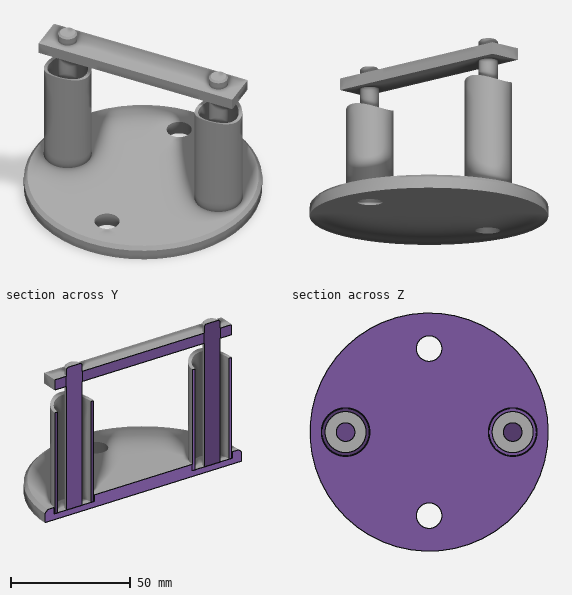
import cadquery as cq
import math

PLATE_DIAMETER = 100.0
PLATE_THICKNESS = 6.0
PLATE_CHAMFER = 1.5
SCREW_HOLE_DIAMETER = 10.5

MOUNT_RADIUS = 35.0

TUBE_DIAMETER = 20.0
TUBE_WALL = 1.5
TUBE_TOP_Z = 53.0
SADDLE_DIAMETER = 42.4

SOCKET_CLEARANCE = 0.2
SOCKET_DIAMETER = TUBE_DIAMETER + SOCKET_CLEARANCE
SOCKET_DEPTH = 3.0
SOCKET_FLOOR_Z = PLATE_THICKNESS - SOCKET_DEPTH

ROD_DIAMETER = 8.0
ROD_TOP_Z = 70.0
ROD_CHAMFER = 0.75

BAR_WIDTH = 15.0
BAR_THICKNESS = 5.0
BAR_LENGTH = 2 * MOUNT_RADIUS + TUBE_DIAMETER
ROD_PROJECTION = 4.0
BAR_BOTTOM_Z = ROD_TOP_Z - ROD_PROJECTION - BAR_THICKNESS

POST_POSITIONS = [(-MOUNT_RADIUS, 0), (MOUNT_RADIUS, 0)]
SCREW_POSITIONS = [(0, -MOUNT_RADIUS), (0, MOUNT_RADIUS)]


def make_plate():
    """Round base with a chamfered upper rim, two screw holes and two blind tube sockets."""
    disc = cq.Workplane("XY").circle(PLATE_DIAMETER / 2).extrude(PLATE_THICKNESS)
    disc = disc.faces(">Z").edges().chamfer(PLATE_CHAMFER)
    holes = (
        cq.Workplane("XY")
        .pushPoints(SCREW_POSITIONS)
        .circle(SCREW_HOLE_DIAMETER / 2)
        .extrude(PLATE_THICKNESS)
    )
    sockets = (
        cq.Workplane("XY", origin=(0, 0, SOCKET_FLOOR_Z))
        .pushPoints(POST_POSITIONS)
        .circle(SOCKET_DIAMETER / 2)
        .extrude(SOCKET_DEPTH)
    )
    return disc.cut(holes).cut(sockets)


def make_tube(x, y):
    """Tube standing in its socket, the upper end hollowed by a cylinder along X."""
    saddle_radius = SADDLE_DIAMETER / 2
    saddle_axis_z = TUBE_TOP_Z + math.sqrt(saddle_radius**2 - (TUBE_DIAMETER / 2) ** 2)
    tube = (
        cq.Workplane("XY", origin=(x, y, SOCKET_FLOOR_Z))
        .circle(TUBE_DIAMETER / 2)
        .circle(TUBE_DIAMETER / 2 - TUBE_WALL)
        .extrude(saddle_axis_z - SOCKET_FLOOR_Z)
    )
    saddle = (
        cq.Workplane("YZ", origin=(x, y, saddle_axis_z))
        .circle(saddle_radius)
        .extrude(TUBE_DIAMETER, both=True)
    )
    return tube.cut(saddle)


def make_rod(x, y):
    """Rod standing on the socket floor inside a tube, with a chamfered tip."""
    return (
        cq.Workplane("XY", origin=(x, y, SOCKET_FLOOR_Z))
        .circle(ROD_DIAMETER / 2)
        .extrude(ROD_TOP_Z - SOCKET_FLOOR_Z)
        .faces(">Z")
        .edges()
        .chamfer(ROD_CHAMFER)
    )


def make_bar():
    """Crossbar with a through hole for each rod."""
    bar = (
        cq.Workplane("XY", origin=(0, 0, BAR_BOTTOM_Z))
        .rect(BAR_LENGTH, BAR_WIDTH)
        .extrude(BAR_THICKNESS)
    )
    holes = (
        cq.Workplane("XY", origin=(0, 0, BAR_BOTTOM_Z))
        .pushPoints(POST_POSITIONS)
        .circle(ROD_DIAMETER / 2)
        .extrude(BAR_THICKNESS)
    )
    return bar.cut(holes)


plate = make_plate()
bar = make_bar()
tubes = [make_tube(x, y) for x, y in POST_POSITIONS]
rods = [make_rod(x, y) for x, y in POST_POSITIONS]

result = cq.Compound.makeCompound(
    [
        plate.val(),
        bar.val(),
        *[tube.val() for tube in tubes],
        *[rod.val() for rod in rods],
    ]
)